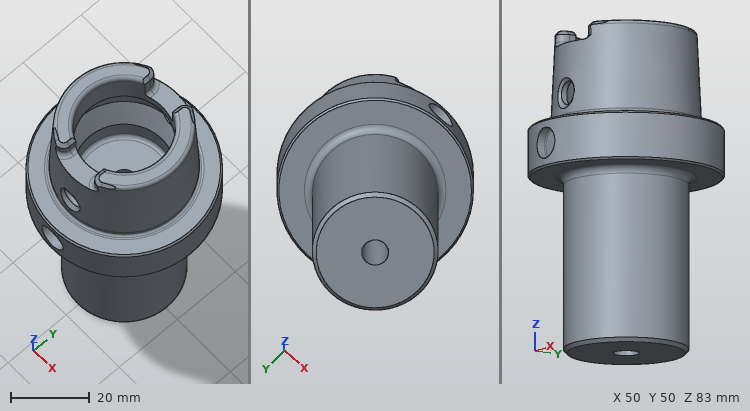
import cadquery as cq
import math


flange_diameter = 50.0
flange_thickness = 12.5
flange_chamfer = 0.5

shaft_diameter = 32.0
shaft_end_z = -58.0
shaft_end_chamfer = 1.0
neck_fillet = 2.0

shank_length = 25.0
taper_gauge_diameter = 38.01
taper_gauge_z = 5.0
taper_slope = 1 / 9.98
taper_start_z = 1.8
rim_outer_round = 1.0

groove_radius = 19.05
groove_top_z = 1.2
groove_fillet = 0.65
recess_depth = 0.1
recess_outer_radius = 20.3

mouth_diameter = 26.0
mouth_end_z = 15.0
rim_inner_round = 1.2
chamber_diameter = 33.0
chamber_end_z = 4.7
chamber_cone_angle = 30.0
cavity_floor_z = -8.0
cavity_floor_fillet = 1.2
center_hole_diameter = 6.8

slot_width = 10.5
slot_corner_radius = 2.4
slot_corner_y = 13.9
slot_shoulder_angle = 30.0
slot_inner_y = 5.0
slot_outer_y = 24.0
slot_outer_half_width = 18.0
slot_floor_fillet = 1.4
slot_top_chamfer = 1.1
front_slot_floor_z = 20.5
back_slot_floor_z = 17.6

front_clamp_hole_diameter = 6.0
back_clamp_hole_diameter = 8.0
clamp_hole_step_y = 10.0
clamp_hole_z = 7.5
clamp_hole_countersink_diameter = 8.0
clamp_hole_overrun = 1.0
flange_hole_diameter = 8.0
flange_hole_depth = 2.8
flange_hole_floor_fillet = 0.25


def taper_radius(z):
    return (taper_gauge_diameter - (z - taper_gauge_z) * taper_slope) / 2


def make_body():
    """Solid of revolution: shaft, flange, relief groove and tapered shank."""
    flange_radius = flange_diameter / 2
    shaft_radius = shaft_diameter / 2
    flange_bottom_z = -flange_thickness
    recess_floor_radius = groove_radius + groove_fillet
    round_start_z = shank_length - rim_outer_round
    round_start_radius = taper_radius(round_start_z)
    half = math.sqrt(0.5)
    round_middle = (
        round_start_radius - rim_outer_round * (1 - half),
        round_start_z + rim_outer_round * half,
    )
    neck_middle = (
        shaft_radius + neck_fillet * (1 - half),
        flange_bottom_z - neck_fillet * (1 - half),
    )
    groove_middle = (
        groove_radius + groove_fillet * (1 - half),
        -recess_depth + groove_fillet * (1 - half),
    )
    profile = (
        cq.Workplane("XZ")
        .moveTo(0, shaft_end_z)
        .lineTo(shaft_radius - shaft_end_chamfer, shaft_end_z)
        .lineTo(shaft_radius, shaft_end_z + shaft_end_chamfer)
        .lineTo(shaft_radius, flange_bottom_z - neck_fillet)
        .threePointArc(neck_middle, (shaft_radius + neck_fillet, flange_bottom_z))
        .lineTo(flange_radius - flange_chamfer, flange_bottom_z)
        .lineTo(flange_radius, flange_bottom_z + flange_chamfer)
        .lineTo(flange_radius, -flange_chamfer)
        .lineTo(flange_radius - flange_chamfer, 0)
        .lineTo(recess_outer_radius, 0)
        .lineTo(recess_floor_radius, -recess_depth)
        .threePointArc(groove_middle, (groove_radius, groove_fillet - recess_depth))
        .lineTo(groove_radius, groove_top_z)
        .lineTo(taper_radius(taper_start_z), taper_start_z)
        .lineTo(round_start_radius, round_start_z)
        .threePointArc(round_middle, (round_start_radius - rim_outer_round, shank_length))
        .lineTo(0, shank_length)
        .close()
    )
    return profile.revolve(360, (0, 0, 0), (0, 1, 0))


def make_cavity():
    """Rounded mouth, undercut chamber, bore with a filleted floor, and the through hole."""
    mouth_radius = mouth_diameter / 2
    mouth_top_radius = mouth_radius + rim_inner_round
    chamber_radius = chamber_diameter / 2
    chamber_cone_height = (chamber_radius - mouth_radius) / math.tan(math.radians(chamber_cone_angle))
    chamber_cone_end_z = chamber_end_z - chamber_cone_height
    center_hole_radius = center_hole_diameter / 2
    floor_round_radius = mouth_radius - cavity_floor_fillet
    half = math.sqrt(0.5)
    floor_round_middle = (
        floor_round_radius + cavity_floor_fillet * half,
        cavity_floor_z + cavity_floor_fillet * (1 - half),
    )
    mouth_round_middle = (
        mouth_top_radius - rim_inner_round * half,
        shank_length - rim_inner_round * (1 - half),
    )
    profile = (
        cq.Workplane("XZ")
        .moveTo(0, shaft_end_z)
        .lineTo(center_hole_radius, shaft_end_z)
        .lineTo(center_hole_radius, cavity_floor_z)
        .lineTo(floor_round_radius, cavity_floor_z)
        .threePointArc(floor_round_middle, (mouth_radius, cavity_floor_z + cavity_floor_fillet))
        .lineTo(mouth_radius, chamber_cone_end_z)
        .lineTo(chamber_radius, chamber_end_z)
        .lineTo(chamber_radius, mouth_end_z)
        .lineTo(mouth_radius, mouth_end_z)
        .lineTo(mouth_radius, shank_length - rim_inner_round)
        .threePointArc(mouth_round_middle, (mouth_top_radius, shank_length))
        .lineTo(0, shank_length)
        .close()
    )
    return profile.revolve(360, (0, 0, 0), (0, 1, 0))


def slot_outline(z):
    """Slot on the +Y side: straight walls that curve out into sloping shoulders."""
    wall_x = slot_width / 2
    corner_x = wall_x + slot_corner_radius
    slope = math.radians(slot_shoulder_angle)
    arc_end_x = corner_x + slot_corner_radius * math.sin(slope)
    arc_end_y = slot_corner_y + slot_corner_radius * math.cos(slope)
    arc_middle_x = corner_x - slot_corner_radius * math.sqrt(0.5)
    arc_middle_y = slot_corner_y + slot_corner_radius * math.sqrt(0.5)
    shoulder_end_y = arc_end_y - (slot_outer_half_width - arc_end_x) * math.tan(slope)
    return (
        cq.Workplane("XY", origin=(0, 0, z))
        .moveTo(-wall_x, slot_inner_y)
        .lineTo(wall_x, slot_inner_y)
        .lineTo(wall_x, slot_corner_y)
        .threePointArc((arc_middle_x, arc_middle_y), (arc_end_x, arc_end_y))
        .lineTo(slot_outer_half_width, shoulder_end_y)
        .lineTo(slot_outer_half_width, slot_outer_y)
        .lineTo(-slot_outer_half_width, slot_outer_y)
        .lineTo(-slot_outer_half_width, shoulder_end_y)
        .lineTo(-arc_end_x, arc_end_y)
        .threePointArc((-arc_middle_x, arc_middle_y), (-wall_x, slot_corner_y))
        .close()
    )


def make_slot(floor_z):
    """Drive slot on the +Y side with a filleted floor and a chamfered rim."""
    slot = (
        slot_outline(floor_z)
        .extrude(shank_length - floor_z)
        .faces("<Z")
        .edges()
        .fillet(slot_floor_fillet)
    )
    rim_chamfer = slot_outline(shank_length - slot_top_chamfer).extrude(slot_top_chamfer, taper=-45)
    return slot.union(rim_chamfer)


def make_clamp_holes():
    """Cross hole along Y: a countersunk narrow end on the -Y side, a plain wide end on +Y."""
    narrow_radius = front_clamp_hole_diameter / 2
    wide_radius = back_clamp_hole_diameter / 2
    sink_radius = clamp_hole_countersink_diameter / 2
    wall_y = taper_radius(clamp_hole_z)
    sink_end_y = wall_y - (sink_radius - narrow_radius)
    outer_y = wall_y + clamp_hole_overrun
    outer_radius = sink_radius + clamp_hole_overrun
    return (
        cq.Workplane("XY", origin=(0, 0, clamp_hole_z))
        .moveTo(0, -outer_y)
        .lineTo(outer_radius, -outer_y)
        .lineTo(narrow_radius, -sink_end_y)
        .lineTo(narrow_radius, clamp_hole_step_y)
        .lineTo(wide_radius, clamp_hole_step_y)
        .lineTo(wide_radius, outer_y)
        .lineTo(0, outer_y)
        .close()
        .revolve(360, (0, 0, 0), (0, 1, 0))
    )


def make_flange_hole():
    """Shallow blind hole in the middle of the flange rim on the -Y side."""
    floor_y = -flange_diameter / 2 + flange_hole_depth
    return (
        cq.Workplane("XZ", origin=(0, floor_y, -flange_thickness / 2))
        .circle(flange_hole_diameter / 2)
        .extrude(flange_hole_depth)
        .faces(">Y")
        .edges()
        .fillet(flange_hole_floor_fillet)
    )


back_slot = make_slot(back_slot_floor_z)
front_slot = make_slot(front_slot_floor_z).mirror("XZ")

result = (
    make_body()
    .cut(make_cavity())
    .cut(back_slot)
    .cut(front_slot)
    .cut(make_clamp_holes())
    .cut(make_flange_hole())
)